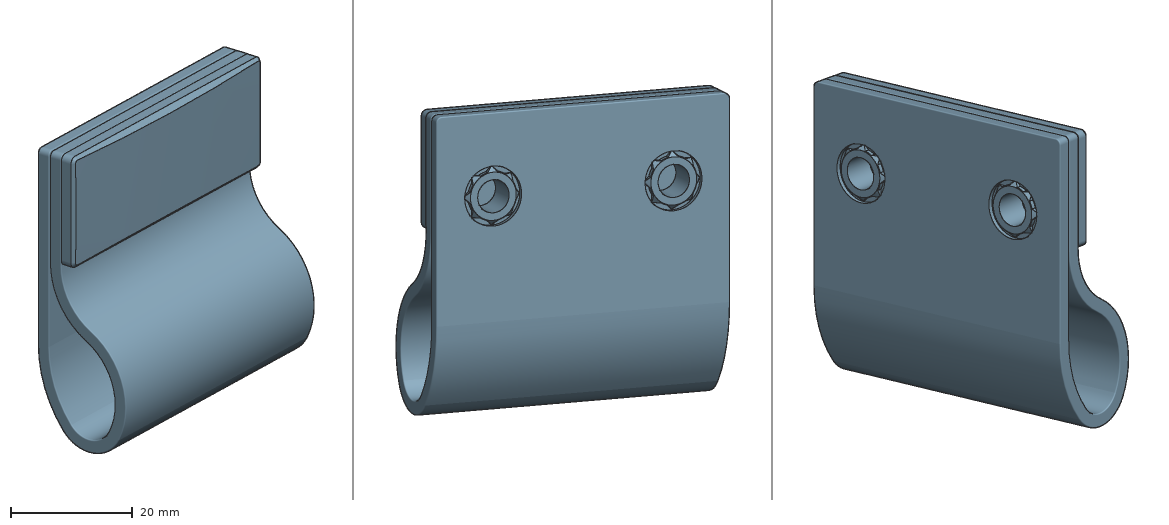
import cadquery as cq
import math

WIDTH = 52.0
HEIGHT = 52.0
LOOP_REACH = 18.1
THICKNESS = 2.35
LEAF_GAP = 0.15
CLIP_CORNER_RADIUS = 1.0
CLIP_EDGE_RADIUS = 0.2

BACK_RADIUS = 22.45
BACK_ARC_TOP = 16.8
BOTTOM_RADIUS = 6.9
NOSE_RADIUS = 13.65
NECK_RADIUS = 11.45

BAR_HEIGHT = 19.95
BAR_THICKNESS = 2.95
BAR_CORNER_RADIUS = 1.1
BAR_EDGE_CHAMFER = 1.0
BAR_CROWN_RADIUS = 806.15

PIN_DIAMETER = 10.1
PIN_SPACING = 32.0
PIN_DROP = 14.0
PIN_PROJECTION = 0.1
PIN_EDGE_CHAMFER = 1.0
PIN_CORE_DIAMETER = 8.3
PIN_GROOVE_DEPTH = 0.95
STAR_DIAMETER = 10.0
STAR_SQUARES = 2
PIN_BORE_DIAMETER = 5.55
PIN_BORE_DEPTH = 6.0

LEAVES_DEPTH = 2 * THICKNESS + LEAF_GAP
PIN_Z = HEIGHT - PIN_DROP
PIN_CENTERS = [(side * PIN_SPACING / 2, PIN_Z) for side in (-1, 1)]


def point_on(center, radius, angle):
    return (center[0] + radius * math.cos(angle), center[1] + radius * math.sin(angle))


def direction(start, end):
    return math.atan2(end[1] - start[1], end[0] - start[0])


def loop_body(inset, top):
    """Solid inside the clip's outline, moved inward by `inset` and closed at Z = `top`."""
    back = (BACK_RADIUS, BACK_ARC_TOP)
    bottom_x = BACK_RADIUS - math.sqrt(
        (BACK_RADIUS - BOTTOM_RADIUS) ** 2 - (BACK_ARC_TOP - BOTTOM_RADIUS) ** 2
    )
    bottom = (bottom_x, BOTTOM_RADIUS)
    nose_x = LOOP_REACH - NOSE_RADIUS
    nose_rise = math.sqrt((NOSE_RADIUS - BOTTOM_RADIUS) ** 2 - (bottom_x - nose_x) ** 2)
    nose = (nose_x, BOTTOM_RADIUS + nose_rise)
    neck_x = LEAVES_DEPTH + NECK_RADIUS
    neck_rise = math.sqrt((NOSE_RADIUS + NECK_RADIUS) ** 2 - (neck_x - nose_x) ** 2)
    neck = (neck_x, nose[1] + neck_rise)

    back_to_bottom = direction(back, bottom)
    bottom_to_nose = direction(nose, bottom)
    nose_to_neck = direction(nose, neck)
    arcs = [
        (back, BACK_RADIUS - inset, -math.pi, back_to_bottom),
        (bottom, BOTTOM_RADIUS - inset, back_to_bottom, bottom_to_nose),
        (nose, NOSE_RADIUS - inset, bottom_to_nose, nose_to_neck),
        (neck, NECK_RADIUS + inset, nose_to_neck + math.pi, math.pi),
    ]
    outline = cq.Workplane("XZ").moveTo(inset, top).lineTo(inset, BACK_ARC_TOP)
    for center, radius, start, end in arcs:
        middle = (start + end) / 2
        outline = outline.threePointArc(point_on(center, radius, middle), point_on(center, radius, end))
    outline = outline.lineTo(LEAVES_DEPTH - inset, top).close()
    return outline.extrude(WIDTH / 2, both=True)


def pin_cylinders(diameter, start_x, length):
    """Cylinders along +X on both pin axes."""
    plane = cq.Workplane("YZ", origin=(start_x, 0, 0))
    return plane.pushPoints(PIN_CENTERS).circle(diameter / 2).extrude(length)


def make_clip():
    clip = loop_body(0, HEIGHT).edges("|X and >Z").fillet(CLIP_CORNER_RADIUS)
    clip = clip.cut(loop_body(THICKNESS, HEIGHT + THICKNESS))
    clip = clip.faces("<Y or >Y or >Z").edges("not(|X)").fillet(CLIP_EDGE_RADIUS)
    return clip.cut(pin_cylinders(PIN_DIAMETER, 0, LEAVES_DEPTH))


def make_pins():
    end_x = -PIN_PROJECTION
    length = LEAVES_DEPTH + PIN_PROJECTION
    beveled = pin_cylinders(PIN_DIAMETER, end_x, length).faces("<X").edges().chamfer(PIN_EDGE_CHAMFER)

    head = pin_cylinders(PIN_CORE_DIAMETER, end_x, PIN_GROOVE_DEPTH)
    square_side = STAR_DIAMETER / math.sqrt(2)
    for turn in range(STAR_SQUARES):
        for y, z in PIN_CENTERS:
            square = (
                cq.Workplane("YZ", origin=(end_x, y, z))
                .transformed(rotate=(0, 0, turn * 90 / STAR_SQUARES))
                .rect(square_side, square_side)
                .extrude(PIN_GROOVE_DEPTH)
            )
            head = head.union(square)
    shanks = pin_cylinders(PIN_DIAMETER, end_x + PIN_GROOVE_DEPTH, length - PIN_GROOVE_DEPTH)
    return head.intersect(beveled).union(shanks)


def make_bar():
    crown_x = LEAVES_DEPTH + BAR_THICKNESS
    middle_z = HEIGHT - BAR_HEIGHT / 2
    bar = (
        cq.Workplane("YZ", origin=(LEAVES_DEPTH, 0, middle_z))
        .rect(WIDTH, BAR_HEIGHT)
        .extrude(BAR_THICKNESS)
        .edges("|X")
        .fillet(BAR_CORNER_RADIUS)
        .faces(">X")
        .edges()
        .chamfer(BAR_EDGE_CHAMFER)
    )
    crown = cq.Workplane("XY", origin=(crown_x - BAR_CROWN_RADIUS, 0, middle_z)).sphere(BAR_CROWN_RADIUS)
    bar = bar.intersect(crown)

    bores = pin_cylinders(PIN_BORE_DIAMETER, -PIN_PROJECTION, PIN_BORE_DEPTH)
    return bar.union(make_pins()).cut(bores)


clip = make_clip()
bar = make_bar()
result = cq.Compound.makeCompound([clip.val(), bar.val()])